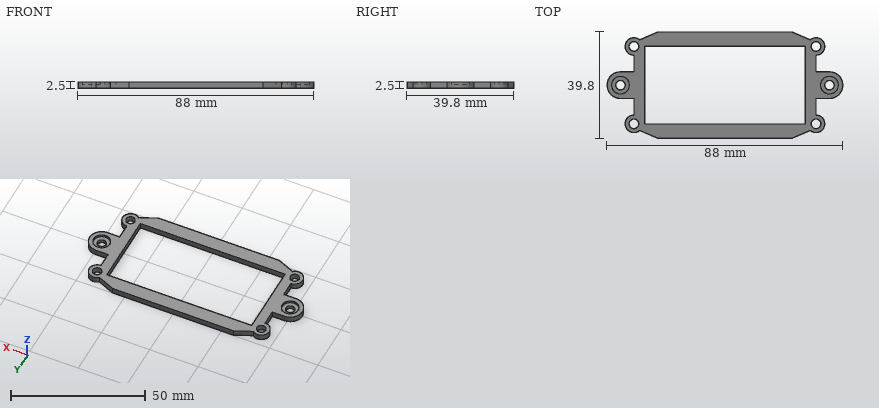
import cadquery as cq

length = 88.0
width = 39.8
thickness = 2.5

frame_half_length = 34.0
long_edge_half_length = 25.0
frame_end_half_width = 16.0
window_length = 59.8
window_width = 28.9

lug_diameter = 6.6
lug_hole_diameter = 3.5
lug_y = window_width / 2

ear_radius = 5.0
ear_x = length / 2 - ear_radius
ear_hole_diameter = 3.4
counterbore_diameter = 6.6
counterbore_depth = 1.0

lug_centers = [(sx * frame_half_length, sy * lug_y) for sx in (-1, 1) for sy in (-1, 1)]
ear_centers = [(-ear_x, 0), (ear_x, 0)]


def make_frame():
    """Plate with tapered corners, before the window is cut."""
    half_width = width / 2
    outline = [
        (-frame_half_length, -frame_end_half_width),
        (-long_edge_half_length, -half_width),
        (long_edge_half_length, -half_width),
        (frame_half_length, -frame_end_half_width),
        (frame_half_length, frame_end_half_width),
        (long_edge_half_length, half_width),
        (-long_edge_half_length, half_width),
        (-frame_half_length, frame_end_half_width),
    ]
    return cq.Workplane("XY").polyline(outline).close().extrude(thickness)


def make_cylinders(centers, diameter, height):
    """Upright cylinders standing on the bottom plane."""
    return cq.Workplane("XY").pushPoints(centers).circle(diameter / 2).extrude(height)


ears = cq.Workplane("XY").slot2D(length, 2 * ear_radius).extrude(thickness)
lugs = make_cylinders(lug_centers, lug_diameter, thickness)
window = cq.Workplane("XY").rect(window_length, window_width).extrude(thickness)

plate = make_frame().union(ears).union(lugs).cut(window)

plate = plate.cut(make_cylinders(lug_centers, lug_hole_diameter, thickness))
result = (
    plate.faces(">Z")
    .workplane(origin=(0, 0, thickness))
    .pushPoints(ear_centers)
    .cboreHole(ear_hole_diameter, counterbore_diameter, counterbore_depth)
)